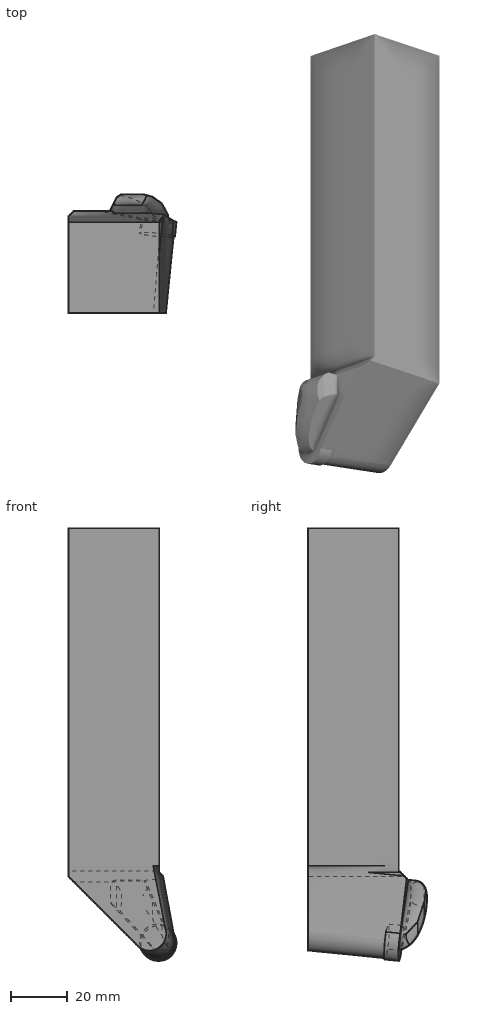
import cadquery as cq
import math

LENGTH = 152.4
SHANK = 32.0
HEAD_DEPTH = 36.0

TIP_X = 38.1
INSERT_RADIUS = 12.6 / 2
INSERT_THICKNESS = 5.0
LEAN = 0.1
INSERT_FACE_Y = 32.6
insert_center = cq.Vector(TIP_X - INSERT_RADIUS, INSERT_FACE_Y, INSERT_RADIUS)
lean_axis = cq.Vector(LEAN, 1, -LEAN)

RIM_OVERHANG = 0.5
NOSE_RADIUS = INSERT_RADIUS - RIM_OVERHANG
SLOPE_DIRECTION = -135
SIDE_ANGLE = 11.0
HEAD_TOP = 33.5
BACK_RAMP_TOP = 31.8
SIDE_RAMP_TOP = 31.2
MARGIN = 45.7

PAD_TOP_Y = 41.9
PAD_BASE_Y = 32.0
PAD_TAPER = 5.0
PAD_CORNER_RADIUS = 5.2 / 2
PAD_OUTLINE = [(14.3, 29.0), (27.1, 29.0), (35.5, 9.1), (34.5, 3.7), (30.5, 3.7), (14.3, 20.4)]
PAD_CREST = [(38.0, 28.3), (40.1, 27.5), (41.5, 25.5), (41.9, 23.2), (41.8, 19.0),
             (40.1, 12.2), (36.5, 6.4), (32.5, 4.0)]
PAD_SECTION = [(13.7, PAD_BASE_Y), (13.7, 34.3), (16.9, 40.7), (18.6, PAD_TOP_Y), (26.2, PAD_TOP_Y),
               (29.5, 41.0), (32.9, 38.5), (35.0, 34.6), (35.5, PAD_BASE_Y)]


def extrude_along_y(outline, start, end):
    """Extrude a closed XZ outline between two Y positions."""
    return cq.Workplane("XZ", origin=(0, start, 0)).polyline(outline).close().extrude(start - end)


def make_leaning_prism():
    """Head outline swept along the insert axis, so the nose and side have clearance."""
    center_x = insert_center.x - LEAN * INSERT_FACE_Y
    center_z = insert_center.z + LEAN * INSERT_FACE_Y

    def nose_point(degrees):
        angle = math.radians(degrees)
        return (center_x + NOSE_RADIUS * math.cos(angle), center_z + NOSE_RADIUS * math.sin(angle))

    side_start = nose_point(SIDE_ANGLE)
    nose_middle = nose_point((SLOPE_DIRECTION + SIDE_ANGLE) / 2)
    slope_end = nose_point(SLOPE_DIRECTION)
    side_top_x = side_start[0] - (MARGIN - side_start[1]) * math.tan(math.radians(SIDE_ANGLE))
    slope_sum = slope_end[0] + slope_end[1]
    outline = (
        cq.Workplane("XZ")
        .moveTo(side_top_x, MARGIN)
        .lineTo(*side_start)
        .threePointArc(nose_middle, slope_end)
        .lineTo(-MARGIN, slope_sum + MARGIN)
        .close()
        .wire()
        .val()
    )
    return cq.Workplane(cq.Solid.extrudeLinear(outline, [], lean_axis * HEAD_DEPTH))


def make_head():
    """Head with 45 degree ramps to the shank and a leaning rake face."""
    side_limits = extrude_along_y(
        [(0, HEAD_TOP), (SHANK, HEAD_TOP), (SHANK, SIDE_RAMP_TOP),
         (SHANK + SIDE_RAMP_TOP, 0), (0, 0)],
        0, HEAD_DEPTH,
    )
    ramp_rise = HEAD_DEPTH - SHANK
    back_limits = (
        cq.Workplane("YZ")
        .polyline([(0, 0), (HEAD_DEPTH, 0), (HEAD_DEPTH, BACK_RAMP_TOP - ramp_rise),
                   (SHANK, BACK_RAMP_TOP), (SHANK, HEAD_TOP), (0, HEAD_TOP)])
        .close()
        .extrude(MARGIN)
    )
    rake_plane = cq.Plane(origin=insert_center.toTuple(), xDir=(1, -LEAN, 0), normal=lean_axis.toTuple())
    above_rake = cq.Workplane(rake_plane).rect(4 * MARGIN, 4 * MARGIN).extrude(MARGIN)
    return make_leaning_prism().intersect(side_limits).intersect(back_limits).cut(above_rake)


def make_pad():
    """Bevelled pad whose crest falls away towards the insert."""
    block = (
        cq.Workplane("XZ", origin=(0, PAD_BASE_Y, 0))
        .polyline(PAD_OUTLINE)
        .close()
        .offset2D(-PAD_CORNER_RADIUS)
        .offset2D(PAD_CORNER_RADIUS)
        .extrude(PAD_BASE_Y - PAD_TOP_Y, taper=PAD_TAPER)
    )
    crest = (
        cq.Workplane("YZ")
        .moveTo(PAD_BASE_Y, MARGIN)
        .lineTo(PAD_CREST[0][0], MARGIN)
        .lineTo(*PAD_CREST[0])
        .spline(PAD_CREST[1:], includeCurrent=True)
        .lineTo(PAD_BASE_Y, PAD_CREST[-1][1])
        .close()
        .extrude(MARGIN)
    )
    section = cq.Workplane("XY").polyline(PAD_SECTION).close().extrude(MARGIN)
    return block.intersect(crest).intersect(section)


def make_insert():
    """Round insert whose rake face is flush with the rake face of the head."""
    base_center = insert_center - lean_axis.normalized() * INSERT_THICKNESS
    return cq.Workplane(cq.Solid.makeCylinder(INSERT_RADIUS, INSERT_THICKNESS, base_center, lean_axis))


def make_holder(insert):
    """Shank, head and pad in one piece, with the insert's seat cut out."""
    shank = cq.Workplane("XY", origin=(0, 0, HEAD_TOP)).rect(SHANK, SHANK, centered=False)
    shank = shank.extrude(LENGTH - HEAD_TOP)
    return shank.union(make_head()).union(make_pad()).cut(insert)


insert = make_insert()
holder = make_holder(insert)
result = cq.Compound.makeCompound([holder.solids().val(), insert.val()])